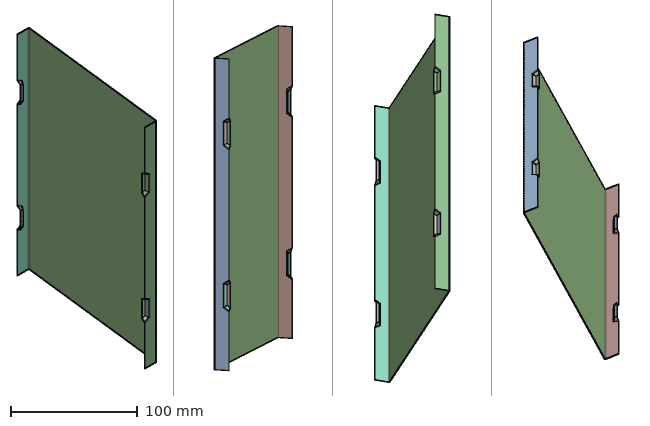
import cadquery as cq
import math

WIDTH = 152.2
DEPTH = 12.5
HEIGHT = 250.0
SHEET = 0.8
BEND_INNER_RADIUS = 0.2
BEND_OUTER_RADIUS = BEND_INNER_RADIUS + SHEET

RECESS_SPACING = 130.0
RECESS_MOUTH_LENGTH = 24.0
RECESS_TOP_LENGTH = 18.5
RECESS_REACH = 4.2
RECESS_DEPTH = 3.2
WALL_RUN = 1.8
LIP_RADIUS = 1.2

END_LEAN = (RECESS_MOUTH_LENGTH - RECESS_TOP_LENGTH) / 2 / RECESS_REACH
END_SHIFT = math.hypot(1, END_LEAN)
WALL_SLOPE = math.atan2(RECESS_DEPTH, WALL_RUN)
WALL_GROWTH = SHEET * math.tan(WALL_SLOPE / 2)

FREE_EDGE_Y = -DEPTH / 2
OUTER_X = -WIDTH / 2
LIP_SEARCH_MARGIN = 0.12


def channel():
    """Back sheet folded into two side flanges along its long edges."""
    outer = (
        cq.Workplane("XY")
        .box(WIDTH, DEPTH, HEIGHT)
        .edges("|Z and >Y")
        .fillet(BEND_OUTER_RADIUS)
    )
    hollow = (
        cq.Workplane("XY")
        .box(WIDTH - 2 * SHEET, DEPTH, HEIGHT)
        .edges("|Z and >Y")
        .fillet(BEND_INNER_RADIUS)
        .translate((0, -SHEET, 0))
    )
    return outer.cut(hollow)


def recess_outline(growth):
    """Trapezoid (y, z) of the recess mouth with its three closed sides moved outward by growth."""
    reach = RECESS_REACH + growth
    mouth_half = RECESS_MOUTH_LENGTH / 2 + growth * END_SHIFT
    top_half = mouth_half - reach * END_LEAN
    return [
        (FREE_EDGE_Y, -mouth_half),
        (FREE_EDGE_Y + reach, -top_half),
        (FREE_EDGE_Y + reach, top_half),
        (FREE_EDGE_Y, mouth_half),
    ]


def tapered_block(start_depth, growth):
    """Left-flange block that narrows inward over the recess depth from a start depth."""
    return (
        cq.Workplane("YZ", origin=(OUTER_X + start_depth, 0, 0))
        .polyline(recess_outline(growth))
        .close()
        .workplane(offset=RECESS_DEPTH)
        .polyline(recess_outline(growth - WALL_RUN))
        .close()
        .loft(ruled=True)
    )


def lip_edges(outer_x, center_z):
    """Selector for the three mouth edges of one recess on a flange's outer face."""
    margin = LIP_SEARCH_MARGIN
    half_length = RECESS_MOUTH_LENGTH / 2 + margin
    lowest = (outer_x - margin, FREE_EDGE_Y + margin, center_z - half_length)
    highest = (outer_x + margin, FREE_EDGE_Y + RECESS_REACH + margin, center_z + half_length)
    return cq.selectors.BoxSelector(lowest, highest)


def press_recess(body, side, center_z):
    """Press one recess into the left (side -1) or right (side 1) flange and round its lip."""
    bulge = tapered_block(SHEET, WALL_GROWTH)
    cavity = tapered_block(0, 0)
    if side > 0:
        bulge = bulge.mirror("YZ")
        cavity = cavity.mirror("YZ")
    place = (0, 0, center_z)
    pressed = body.union(bulge.translate(place)).cut(cavity.translate(place))
    return pressed.edges(lip_edges(-side * OUTER_X, center_z)).fillet(LIP_RADIUS)


result = channel()
for flange_side in (-1, 1):
    for recess_z in (-RECESS_SPACING / 2, RECESS_SPACING / 2):
        result = press_recess(result, flange_side, recess_z)